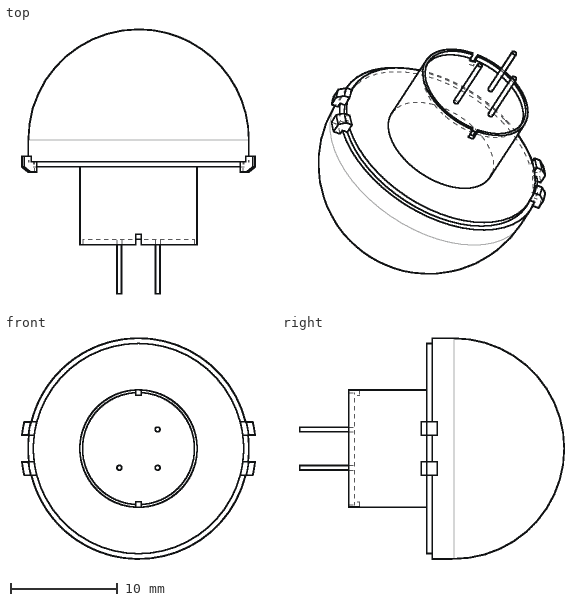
import cadquery as cq
import math


dome_radius = 20.7 / 2
base_step = 0.5
base_radius = dome_radius - base_step
skirt_depth = 2.05
base_depth = skirt_depth + base_step

can_radius = 11 / 2
can_wall = 0.25
can_depth = 9.85
recess = 0.5
notch_width = 0.5
notch_radial = 0.5
notch_length = 1.0

overall_length = 24.8
pin_diameter = 0.45
pin_circle_diameter = 5.08
pin_offset = pin_circle_diameter / 2 / math.sqrt(2)
pin_end = overall_length - dome_radius

tab_radius = 11.0
tab_tip_radius = 10.4
tab_start = skirt_depth - base_step
tab_end = base_depth + base_step
tab_gap = 2.5
tab_height = 1.25


def revolve_about_y(outline):
    """Close a half outline in the XY plane and turn it about the Y axis."""
    return outline.close().revolve(360, (0, 0, 0), (0, 1, 0))


def cylinder_along_y(radius, start, end):
    """Cylinder on the Y axis between two depths."""
    return cq.Workplane("XZ", origin=(0, -start, 0)).circle(radius).extrude(end - start)


def make_lens():
    """Solid dome with its skirt and the smaller base disc."""
    arc_mid = dome_radius * math.sqrt(0.5)
    outline = (
        cq.Workplane("XY")
        .moveTo(0, dome_radius)
        .threePointArc((arc_mid, arc_mid), (dome_radius, 0))
        .lineTo(dome_radius, -skirt_depth)
        .lineTo(base_radius, -skirt_depth)
        .lineTo(base_radius, -base_depth)
        .lineTo(0, -base_depth)
    )
    return revolve_about_y(outline)


def make_can():
    """Can with a recessed end and a notch in its rim at top and bottom."""
    can = cylinder_along_y(can_radius, base_depth, can_depth)
    can = can.cut(cylinder_along_y(can_radius - can_wall, can_depth - recess, can_depth))
    for side in (1, -1):
        notch = cq.Workplane("XY").box(notch_width, notch_length, 2 * notch_radial)
        can = can.cut(notch.translate((0, notch_length / 2 - can_depth, side * can_radius)))
    return can


def make_pins():
    """Three pins standing on the recess floor; the fourth corner stays empty."""
    floor_depth = can_depth - recess
    corners = [(pin_offset, pin_offset), (pin_offset, -pin_offset), (-pin_offset, -pin_offset)]
    return (
        cq.Workplane("XZ", origin=(0, -floor_depth, 0))
        .pushPoints(corners)
        .circle(pin_diameter / 2)
        .extrude(pin_end - floor_depth)
    )


def make_tabs():
    """Rim ring trimmed to two bands of height, leaving two tabs on each side."""
    outline = (
        cq.Workplane("XY")
        .moveTo(dome_radius, -tab_start)
        .lineTo(tab_radius, -tab_start)
        .lineTo(tab_radius, -base_depth)
        .lineTo(tab_tip_radius, -tab_end)
        .lineTo(base_radius, -tab_end)
        .lineTo(base_radius, -skirt_depth)
        .lineTo(dome_radius, -skirt_depth)
    )
    ring = revolve_about_y(outline)
    band_offset = (tab_gap + tab_height) / 2
    band = cq.Workplane("XY").box(2 * tab_radius, 2 * tab_end, tab_height)
    band = band.translate((0, -tab_end, 0))
    bands = band.translate((0, 0, band_offset)).union(band.translate((0, 0, -band_offset)))
    return ring.intersect(bands)


result = make_lens().union(make_can()).union(make_pins()).union(make_tabs())